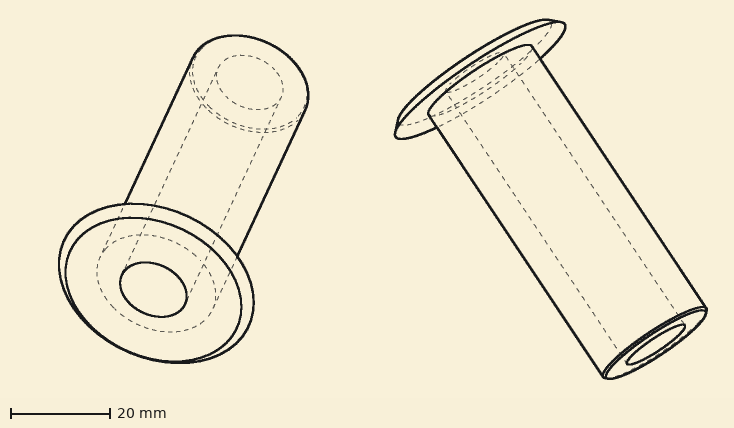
import cadquery as cq

length = 67.0
flange_diameter = 41.0
flange_thickness = 2.0
body_diameter = 25.0
bore_diameter = 14.0
end_chamfer = 0.5

flange_radius = flange_diameter / 2
face_radius = flange_radius - flange_thickness
body_radius = body_diameter / 2
bore_radius = bore_diameter / 2
front_y = -length / 2
back_y = length / 2
flange_back_y = front_y + flange_thickness

half_section = [
    (bore_radius, front_y),
    (face_radius, front_y),
    (flange_radius, flange_back_y),
    (body_radius, flange_back_y),
    (body_radius, back_y - end_chamfer),
    (body_radius - end_chamfer, back_y),
    (bore_radius, back_y),
]

result = (
    cq.Workplane("XY")
    .polyline(half_section)
    .close()
    .revolve(360, (0, 0, 0), (0, 1, 0))
)